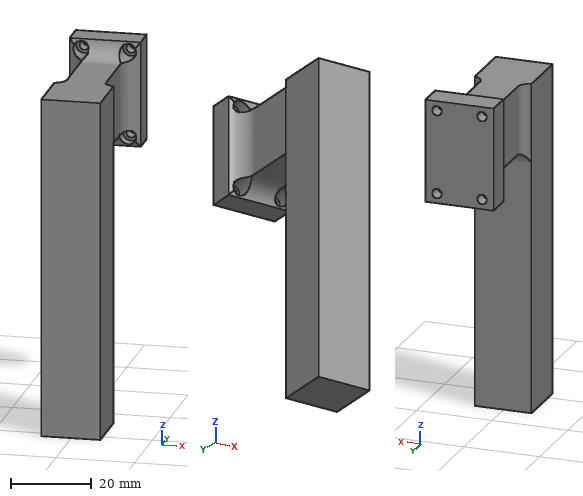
import cadquery as cq
import math

plate_width = 18.0
plate_height = 27.0
plate_thickness = 7.0

total_depth = 45.9
total_height = 91.5
grip_size = 15.0

neck_width = 10.0
neck_height = 18.0

plate_flare_radius = 5.95
grip_flare_radius = 3.0

hole_diameter = 2.5
counterbore_diameter = 4.0
counterbore_depth = 3.0
hole_spacing_x = 11.9
hole_edge_distance_z = 2.6

plate_front = -plate_thickness
counterbore_floor = plate_front + counterbore_depth
grip_front = -total_depth
grip_back = grip_front + grip_size
plate_bottom = total_height - plate_height
plate_middle = total_height - plate_height / 2
neck_top = plate_middle + neck_height / 2
neck_bottom = plate_middle - neck_height / 2


def flare_length(radius, rise):
    """Length along the neck of an arc tangent to it that rises sideways by `rise`."""
    return math.sqrt(radius**2 - (radius - rise) ** 2)


def flare_middle(radius, rise):
    """Point halfway along a flare: (distance from its tangent point, sideways rise)."""
    half_angle = math.acos((radius - rise) / radius) / 2
    return radius * math.sin(half_angle), radius * (1 - math.cos(half_angle))


def plan_body():
    """Outline across the width, extruded over the full height."""
    plate_rise = (plate_width - neck_width) / 2
    grip_rise = (grip_size - neck_width) / 2
    neck_side = neck_width / 2
    neck_start = plate_front - flare_length(plate_flare_radius, plate_rise)
    neck_end = grip_back + flare_length(grip_flare_radius, grip_rise)
    plate_run, plate_side_step = flare_middle(plate_flare_radius, plate_rise)
    grip_run, grip_side_step = flare_middle(grip_flare_radius, grip_rise)
    half = (
        cq.Workplane("XY")
        .moveTo(0, 0)
        .lineTo(plate_width / 2, 0)
        .lineTo(plate_width / 2, plate_front)
        .threePointArc((neck_side + plate_side_step, neck_start + plate_run), (neck_side, neck_start))
        .lineTo(neck_side, neck_end)
        .threePointArc((neck_side + grip_side_step, neck_end - grip_run), (grip_size / 2, grip_back))
        .lineTo(grip_size / 2, grip_front)
        .lineTo(0, grip_front)
        .close()
        .extrude(total_height)
    )
    return half.union(half.mirror("YZ"))


def side_body():
    """L-shaped side outline, extruded over the full width."""
    rise = (plate_height - neck_height) / 2
    neck_start = plate_front - flare_length(plate_flare_radius, rise)
    run, step = flare_middle(plate_flare_radius, rise)
    fillet_run, fillet_drop = flare_middle(grip_flare_radius, grip_flare_radius)
    neck_end = grip_back + grip_flare_radius
    return (
        cq.Workplane("YZ")
        .moveTo(0, total_height)
        .lineTo(plate_front, total_height)
        .threePointArc((neck_start + run, neck_top + step), (neck_start, neck_top))
        .lineTo(grip_front, neck_top)
        .lineTo(grip_front, 0)
        .lineTo(grip_back, 0)
        .lineTo(grip_back, neck_bottom - grip_flare_radius)
        .threePointArc((neck_end - fillet_run, neck_bottom - fillet_drop), (neck_end, neck_bottom))
        .lineTo(neck_start, neck_bottom)
        .threePointArc((neck_start + run, neck_bottom - step), (plate_front, plate_bottom))
        .lineTo(0, plate_bottom)
        .close()
        .extrude(plate_width / 2, both=True)
    )


def screw_cutters():
    """Through holes, with counterbores that cut through the flares into the plate."""
    flare_end = plate_front - plate_flare_radius
    hole_spacing_z = plate_height - 2 * hole_edge_distance_z
    centres = (
        cq.Workplane("XZ", origin=(0, 0, plate_middle))
        .rect(hole_spacing_x, hole_spacing_z, forConstruction=True)
        .vertices()
    )
    holes = centres.circle(hole_diameter / 2).extrude(-flare_end)
    counterbores = (
        cq.Workplane("XZ", origin=(0, counterbore_floor, plate_middle))
        .rect(hole_spacing_x, hole_spacing_z, forConstruction=True)
        .vertices()
        .circle(counterbore_diameter / 2)
        .extrude(counterbore_floor - flare_end)
    )
    return holes.union(counterbores)


result = plan_body().intersect(side_body()).cut(screw_cutters())